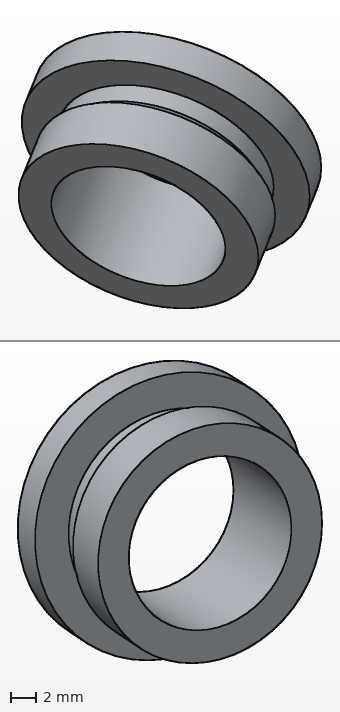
import cadquery as cq

flange_diameter = 24.0
body_diameter = 20.0
neck_diameter = 18.0
bore_diameter = 14.5

total_length = 10.0
flange_thickness = 3.0
neck_length = 1.68

flange_radius = flange_diameter / 2
body_radius = body_diameter / 2
neck_radius = neck_diameter / 2
bore_radius = bore_diameter / 2

flange_start = total_length - flange_thickness
neck_start = flange_start - neck_length
taper_length = body_radius - neck_radius
taper_start = neck_start - taper_length

half_section = (
    cq.Workplane("XY")
    .moveTo(bore_radius, 0)
    .lineTo(body_radius, 0)
    .lineTo(body_radius, taper_start)
    .lineTo(neck_radius, neck_start)
    .lineTo(neck_radius, flange_start)
    .lineTo(flange_radius, flange_start)
    .lineTo(flange_radius, total_length)
    .lineTo(bore_radius, total_length)
    .close()
)

result = half_section.revolve(360, (0, 0, 0), (0, 1, 0))